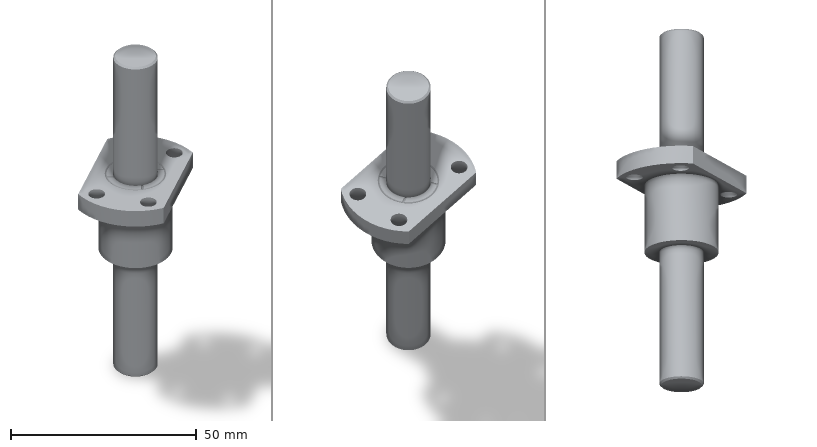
import cadquery as cq
import math

SHAFT_DIAMETER = 12.0
SHAFT_LENGTH = 100.0
SHAFT_CHAMFER = 0.5

NUT_DIAMETER = 20.0
NUT_LENGTH = 24.0
NUT_TOP = NUT_LENGTH / 2
FLANGE_DIAMETER = 37.0
FLANGE_WIDTH = 24.0
FLANGE_THICKNESS = 5.0

HOLE_DIAMETER = 4.5
BOLT_CIRCLE_DIAMETER = 29.0
HOLE_ANGLES = (60, 120, 240, 300)

WIPER_DIAMETER = 16.1
WIPER_EDGE_CHAMFER = 0.25
CLEARANCE_DIAMETER = 12.2
CLEARANCE_DEPTH = 0.5
SPLIT_COUNT = 4
SPLIT_RADIUS = 0.3
SPLIT_DIRECTION = 18.0
SPLIT_OFFSET = 1.6


def cylinder(diameter, bottom, height):
    return cq.Workplane("XY").workplane(offset=bottom).circle(diameter / 2).extrude(height)


def ring(outer_diameter, inner_diameter, bottom, height):
    return cylinder(outer_diameter, bottom, height).cut(cylinder(inner_diameter, bottom, height))


def make_shaft():
    shaft = cylinder(SHAFT_DIAMETER, -SHAFT_LENGTH / 2, SHAFT_LENGTH)
    return shaft.faces("<Z or >Z").chamfer(SHAFT_CHAMFER)


def make_flange():
    bottom = NUT_TOP - FLANGE_THICKNESS
    disc = cylinder(FLANGE_DIAMETER, bottom, FLANGE_THICKNESS)
    flats = (
        cq.Workplane("XY")
        .workplane(offset=bottom)
        .rect(FLANGE_WIDTH, FLANGE_DIAMETER)
        .extrude(FLANGE_THICKNESS)
    )
    return disc.intersect(flats)


def make_mounting_holes():
    radius = BOLT_CIRCLE_DIAMETER / 2
    centres = []
    for angle in HOLE_ANGLES:
        turn = math.radians(angle)
        centres.append((radius * math.cos(turn), radius * math.sin(turn)))
    return (
        cq.Workplane("XY")
        .workplane(offset=NUT_TOP - FLANGE_THICKNESS)
        .pushPoints(centres)
        .circle(HOLE_DIAMETER / 2)
        .extrude(FLANGE_THICKNESS)
    )


def make_wiper_groove():
    radius = WIPER_DIAMETER / 2
    return (
        cq.Workplane("XZ")
        .moveTo(radius - WIPER_EDGE_CHAMFER, NUT_TOP)
        .lineTo(radius, NUT_TOP - WIPER_EDGE_CHAMFER)
        .lineTo(radius + WIPER_EDGE_CHAMFER, NUT_TOP)
        .close()
        .revolve(360, (0, 0, 0), (0, 1, 0))
    )


def make_shaft_clearance():
    return ring(CLEARANCE_DIAMETER, SHAFT_DIAMETER, NUT_TOP - CLEARANCE_DEPTH, CLEARANCE_DEPTH)


def make_wiper_splits():
    split = (
        cq.Workplane("YZ")
        .center(SPLIT_OFFSET, NUT_TOP)
        .circle(SPLIT_RADIUS)
        .extrude(WIPER_DIAMETER / 2)
        .intersect(ring(WIPER_DIAMETER, SHAFT_DIAMETER, NUT_TOP - SPLIT_RADIUS, SPLIT_RADIUS))
    )
    splits = cq.Workplane("XY")
    for index in range(SPLIT_COUNT):
        angle = SPLIT_DIRECTION + index * 360 / SPLIT_COUNT
        splits = splits.add(split.rotate((0, 0, 0), (0, 0, 1), angle))
    return splits.combine()


nut_body = cylinder(NUT_DIAMETER, -NUT_LENGTH / 2, NUT_LENGTH)
nut = nut_body.union(make_flange()).cut(make_mounting_holes())
result = make_shaft().union(nut)
result = result.cut(make_wiper_groove()).cut(make_shaft_clearance()).cut(make_wiper_splits())